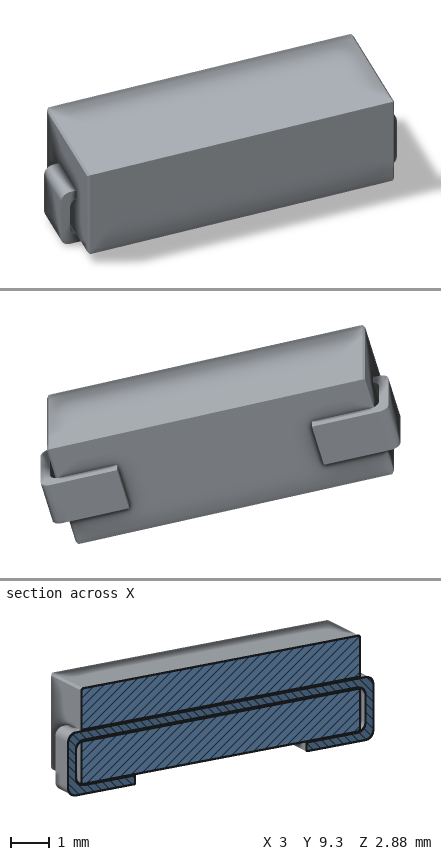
import cadquery as cq

TOTAL_LENGTH = 9.3
TOTAL_HEIGHT = 2.88

HOUSING_WIDTH = 3.0
HOUSING_LENGTH = 8.5
HOUSING_BOTTOM = 0.27
HOUSING_HEIGHT = TOTAL_HEIGHT - HOUSING_BOTTOM
END_CHAMFER = 0.06

STRIP_WIDTH = 1.21
STRIP_THICKNESS = 0.25
STRIP_TOP = 1.72
FOOT_LENGTH = 2.05
OUTER_BEND_RADIUS = 0.25
INNER_BEND_RADIUS = 0.25

SIDE_CLEARANCE = 0.06
VERTICAL_CLEARANCE = 0.03
CHANNEL_WIDTH = STRIP_WIDTH + 2 * SIDE_CLEARANCE
CHANNEL_HEIGHT = STRIP_THICKNESS + 2 * VERTICAL_CLEARANCE
CHANNEL_TOP = STRIP_TOP + VERTICAL_CLEARANCE


def make_housing():
    """Block with chamfered end faces and a channel through its whole length."""
    block = (
        cq.Workplane("XY")
        .box(HOUSING_WIDTH, HOUSING_LENGTH, HOUSING_HEIGHT, centered=(True, True, False))
        .translate((0, 0, HOUSING_BOTTOM))
        .faces("<Y or >Y")
        .chamfer(END_CHAMFER)
    )
    channel = (
        cq.Workplane("XY")
        .box(CHANNEL_WIDTH, HOUSING_LENGTH, CHANNEL_HEIGHT, centered=(True, True, False))
        .translate((0, 0, CHANNEL_TOP - CHANNEL_HEIGHT))
    )
    return block.cut(channel)


def make_lead_strip():
    """Flat strip bent down and inward at both ends, forming two feet."""
    outer_loop = (
        cq.Workplane("XY")
        .box(STRIP_WIDTH, TOTAL_LENGTH, STRIP_TOP, centered=(True, True, False))
        .edges("|X")
        .fillet(OUTER_BEND_RADIUS)
    )
    inner_space = (
        cq.Workplane("XY")
        .box(
            STRIP_WIDTH,
            TOTAL_LENGTH - 2 * STRIP_THICKNESS,
            STRIP_TOP - 2 * STRIP_THICKNESS,
            centered=(True, True, False),
        )
        .edges("|X")
        .fillet(INNER_BEND_RADIUS)
        .translate((0, 0, STRIP_THICKNESS))
    )
    gap_between_feet = cq.Workplane("XY").box(
        STRIP_WIDTH,
        TOTAL_LENGTH - 2 * FOOT_LENGTH,
        2 * STRIP_THICKNESS,
    )
    return outer_loop.cut(inner_space).cut(gap_between_feet)


housing = make_housing()
lead_strip = make_lead_strip()

result = cq.Compound.makeCompound([housing.solids().val(), lead_strip.solids().val()])